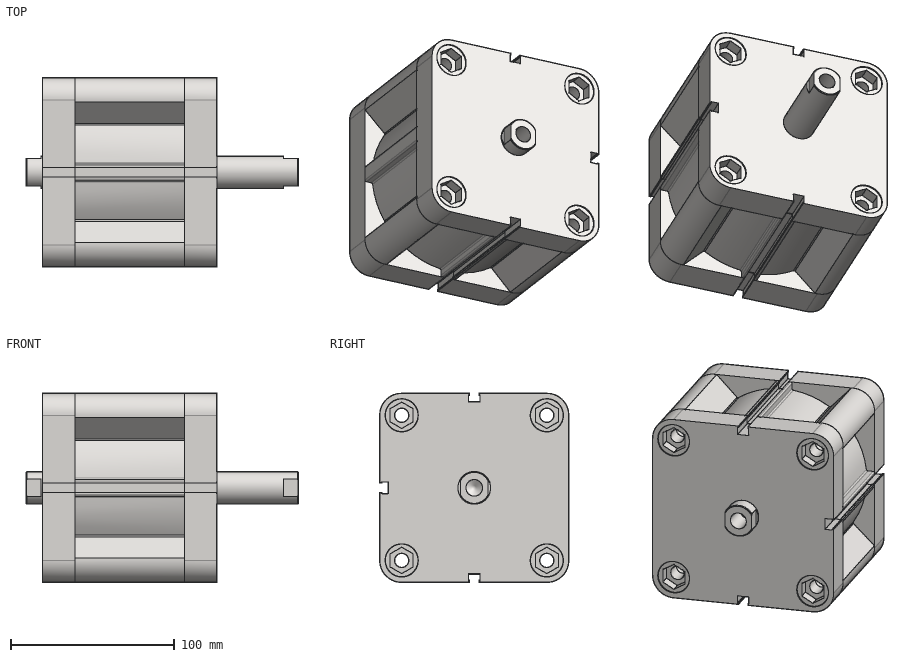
import cadquery as cq
import math

total_length = 167.0
rear_overhang = 10.0
cap_length = 20.0
barrel_length = 67.0

section_width = 116.0
half_width = section_width / 2
corner_radius = 13.5
bolt_offset = half_width - corner_radius

bolt_hole_diameter = 8.5
hex_across_flats = 14.0
hex_corner_radius = hex_across_flats / 2 / math.cos(math.pi / 6)
hex_depth = 8.0
seat_diameter = 20.4
seat_depth = 0.5
seat_taper = 20.0

slot_neck_width = 6.0
slot_inner_width = 7.0
cap_slot_lip = 1.0
cap_slot_depth = 5.5
barrel_slot_lip = 1.5
barrel_slot_depth = 5.0

tube_radius = 53.1
pillar_edge = 43.1
pillar_foot = 30.0
rib_half_width = 5.2
rib_fillet = 1.0

rod_diameter = 20.0
rod_chamfer = 0.5
flat_across = 17.0
flat_length = 9.0
rod_hole_diameter = 10.2
rod_hole_depth = 20.0
drill_tip_angle = 118.0

rod_start = -total_length / 2
rear_cap_start = rod_start + rear_overhang
barrel_start = rear_cap_start + cap_length
front_cap_start = barrel_start + barrel_length

slot_angles = (0, 90, 180)
bolt_points = [(y, z) for y in (-bolt_offset, bolt_offset) for z in (-bolt_offset, bolt_offset)]


def section(x):
    """Sketch plane across the rod axis: local x is Y, local y is Z, normal is +X."""
    return cq.Workplane("YZ", origin=(x, 0, 0))


def rounded_square(x, length):
    """Square block along X with rounded long edges."""
    return section(x).rect(section_width, section_width).extrude(length).edges("|X").fillet(corner_radius)


def cut_slots(body, x, length, slot_lip, slot_depth):
    """Cut the sensor slots in the +Z, -Y and -Z sides."""
    inner_height = slot_depth - slot_lip
    neck = section(x).center(0, half_width).rect(slot_neck_width, 2 * slot_depth).extrude(length)
    inner = (
        section(x)
        .center(0, half_width - slot_lip - inner_height / 2)
        .rect(slot_inner_width, inner_height)
        .extrude(length)
    )
    slot = neck.union(inner)
    for angle in slot_angles:
        body = body.cut(slot.rotate((0, 0, 0), (1, 0, 0), angle))
    return body


def make_cap(x, outer_side):
    """End cap; outer_side is -1 or +1 for the X direction its bolt seats face."""
    cap = cut_slots(rounded_square(x, cap_length), x, cap_length, cap_slot_lip, cap_slot_depth)
    outer_x = x if outer_side < 0 else x + cap_length
    inward = -outer_side
    holes = section(x).pushPoints(bolt_points).circle(bolt_hole_diameter / 2).extrude(cap_length)
    seats = (
        section(outer_x)
        .pushPoints(bolt_points)
        .circle(seat_diameter / 2)
        .extrude(inward * seat_depth, taper=seat_taper)
    )
    hexes = (
        section(outer_x)
        .sketch()
        .push(bolt_points)
        .regularPolygon(hex_corner_radius, 6)
        .finalize()
        .extrude(inward * hex_depth)
    )
    bore = section(x).circle(rod_diameter / 2).extrude(cap_length)
    return cap.cut(holes).cut(seats).cut(hexes).cut(bore)


def make_pillar():
    """Corner pillar in the +Y +Z corner, filled in to the rod axis."""
    edge_height = bolt_offset + math.sqrt(corner_radius**2 - (bolt_offset - pillar_edge) ** 2)
    arc_middle = bolt_offset + corner_radius * math.sqrt(0.5)
    return (
        section(barrel_start)
        .lineTo(0, bolt_offset)
        .lineTo(pillar_foot, bolt_offset)
        .lineTo(pillar_edge, edge_height)
        .threePointArc((arc_middle, arc_middle), (edge_height, pillar_edge))
        .lineTo(bolt_offset, pillar_foot)
        .lineTo(bolt_offset, 0)
        .close()
        .extrude(barrel_length)
    )


def make_rib():
    """Slot rib in the +Z side, with rounded shoulders and a filleted foot on the tube."""
    foot_half_width = rib_half_width + rib_fillet
    foot_height = math.sqrt(tube_radius**2 - foot_half_width**2)
    half = (
        section(barrel_start)
        .lineTo(0, half_width)
        .lineTo(rib_half_width - rib_fillet, half_width)
        .radiusArc((rib_half_width, half_width - rib_fillet), rib_fillet)
        .lineTo(rib_half_width, foot_height + rib_fillet)
        .radiusArc((foot_half_width, foot_height), -rib_fillet)
        .lineTo(foot_half_width, 0)
        .close()
        .extrude(barrel_length)
    )
    return half.union(half.mirror("XZ"))


def make_barrel():
    """Round tube with four corner pillars and a rib in the middle of each side."""
    barrel = section(barrel_start).circle(tube_radius).extrude(barrel_length)
    for shape in (make_pillar(), make_rib()):
        for turn in range(4):
            barrel = barrel.union(shape.rotate((0, 0, 0), (1, 0, 0), 90 * turn))
    barrel = cut_slots(barrel, barrel_start, barrel_length, barrel_slot_lip, barrel_slot_depth)
    holes = section(barrel_start).pushPoints(bolt_points).circle(bolt_hole_diameter / 2)
    bore = section(barrel_start).circle(rod_diameter / 2)
    return barrel.cut(holes.extrude(barrel_length)).cut(bore.extrude(barrel_length))


def make_rod():
    """Rod through the whole cylinder, with wrench flats and a drilled hole at each end."""
    rod = section(rod_start).circle(rod_diameter / 2).extrude(total_length)
    rod = rod.faces("<X or >X").chamfer(rod_chamfer)

    hole_radius = rod_hole_diameter / 2
    tip_length = hole_radius / math.tan(math.radians(drill_tip_angle / 2))
    drill = (
        cq.Workplane("XY", origin=(rod_start, 0, 0))
        .polyline([(0, 0), (0, hole_radius), (rod_hole_depth, hole_radius), (rod_hole_depth + tip_length, 0)])
        .close()
        .revolve(360, (0, 0, 0), (1, 0, 0))
    )
    flat_depth = (rod_diameter - flat_across) / 2
    flats = (
        section(rod_start)
        .pushPoints([(side * (flat_across + flat_depth) / 2, 0) for side in (-1, 1)])
        .rect(flat_depth, rod_diameter)
        .extrude(flat_length)
    )
    for cutter in (drill, flats):
        rod = rod.cut(cutter).cut(cutter.mirror("YZ"))
    return rod


rear_cap = make_cap(rear_cap_start, -1)
barrel = make_barrel()
front_cap = make_cap(front_cap_start, 1)
rod = make_rod()

result = cq.Compound.makeCompound([rear_cap.val(), barrel.val(), front_cap.val(), rod.val()])